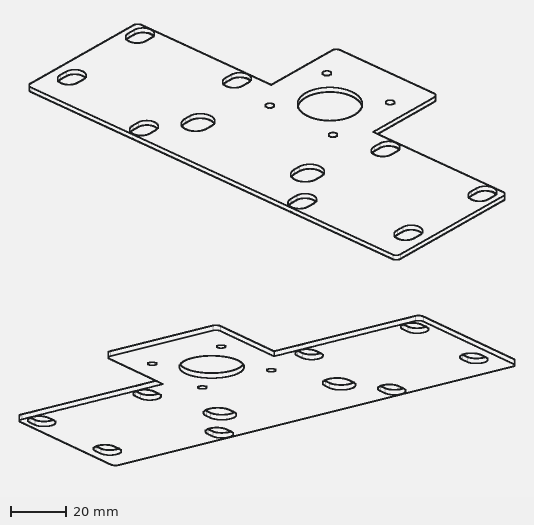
import cadquery as cq

base_width = 181.0
base_depth = 60.0
total_depth = 95.0
tab_width = 50.0
thickness = 2.0
corner_radius = 2.0

motor_y = 64.0
bore_diameter = 23.5
screw_spacing = 31.0
screw_diameter = 3.3

slot_width = 8.3
slot_length = 11.4
back_slot_y = 54.0
slot_positions = [
    (83.8, back_slot_y),
    (36.4, back_slot_y),
    (82.4, 15.4),
    (38.7, 6.2),
]
wide_slot_width = 10.5
wide_slot_length = 13.0
wide_slot_positions = [(26.8, 22.3)]


def mirrored(positions):
    """Return the positions on both sides of X = 0."""
    return [(side * x, y) for x, y in positions for side in (-1, 1)]


def make_plate():
    """T-shaped plate with rounded outer corners and sharp inner corners."""
    base = (
        cq.Workplane("XY")
        .rect(base_width, base_depth)
        .extrude(thickness)
        .edges("|Z")
        .fillet(corner_radius)
        .translate((0, base_depth / 2, 0))
    )
    tab = (
        cq.Workplane("XY")
        .rect(tab_width, total_depth)
        .extrude(thickness)
        .edges("|Z and >Y")
        .fillet(corner_radius)
        .translate((0, total_depth / 2, 0))
    )
    return base.union(tab).clean()


def make_slots(positions, width, length):
    """Through-cutting solids for mirrored round-ended slots along Y."""
    return (
        cq.Workplane("XY")
        .pushPoints(mirrored(positions))
        .slot2D(length, width, 90)
        .extrude(thickness)
    )


def make_motor_holes():
    """Through-cutting solids for the motor bore and its screw holes."""
    bore = cq.Workplane("XY").center(0, motor_y).circle(bore_diameter / 2).extrude(thickness)
    screws = (
        cq.Workplane("XY")
        .center(0, motor_y)
        .rect(screw_spacing, screw_spacing, forConstruction=True)
        .vertices()
        .circle(screw_diameter / 2)
        .extrude(thickness)
    )
    return bore.union(screws)


result = (
    make_plate()
    .cut(make_motor_holes())
    .cut(make_slots(slot_positions, slot_width, slot_length))
    .cut(make_slots(wide_slot_positions, wide_slot_width, wide_slot_length))
)